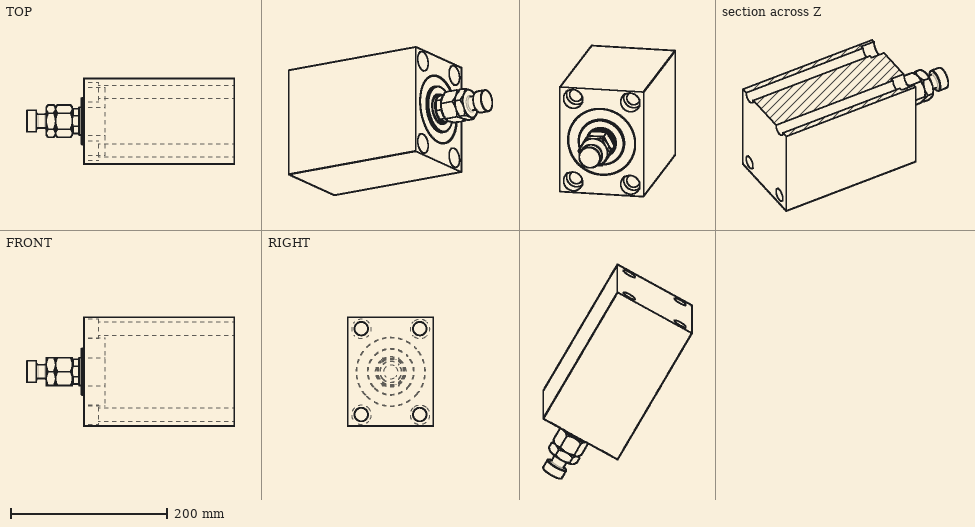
import cadquery as cq
import math


overall_length = 266.0
housing_width = 110.0
housing_height = 140.0
housing_edge_chamfer = 0.5

hole_spacing_y = 75.0
hole_spacing_z = 110.0
hole_dia = 17.0
counterbore_dia = 25.0
counterbore_depth = 18.5

gland_dia = 87.2
gland_depth = 26.5
gland_seat_chamfer = 0.8
boss_dia = 60.0
boss_length = 3.2
boss_chamfer = 1.0
wiper_recess_dia = 39.0
wiper_recess_depth = 1.0

rod_dia = 36.0
rod_projection = 3.2
rod_chamfer = 0.8
neck_dia = 34.5
neck_length = 8.2
neck_chamfer = 0.8
wrench_flats = 32.0

hex_across_flats = 36.0
hex_corner_chamfer = 2.5
thick_hex_length = 21.5
thin_hex_length = 12.0
stud_dia = 18.0
stud_length = 12.5
stud_fillet = 1.5
head_dia = 28.0
head_length = 12.5
head_chamfer = 0.5

boss_face_x = -boss_length
neck_start_x = boss_face_x - rod_projection
thick_hex_x = neck_start_x - neck_length - thick_hex_length
thin_hex_x = thick_hex_x - thin_hex_length
stud_x = thin_hex_x - stud_length
head_x = stud_x - head_length
housing_length = overall_length + head_x


def cylinder(diameter, start_x, end_x):
    """Solid cylinder on the X axis between two stations."""
    return cq.Workplane("YZ", origin=(start_x, 0, 0)).circle(diameter / 2).extrude(end_x - start_x)


def make_housing():
    block = cq.Workplane("XY").box(
        housing_length, housing_width, housing_height, centered=(False, True, True)
    )
    block = block.edges("|X").chamfer(housing_edge_chamfer)
    block = (
        block.faces("<X")
        .workplane(origin=(0, 0, 0))
        .rect(hole_spacing_y, hole_spacing_z, forConstruction=True)
        .vertices()
        .cboreHole(hole_dia, counterbore_dia, counterbore_depth)
    )
    seat = cylinder(gland_dia, 0, gland_depth)
    seat_mouth = (
        cq.Workplane("YZ")
        .circle(gland_dia / 2 + gland_seat_chamfer)
        .extrude(gland_seat_chamfer, taper=45)
    )
    return block.cut(seat).cut(seat_mouth)


def make_gland():
    boss = cylinder(boss_dia, boss_face_x, 0).faces("<X").chamfer(boss_chamfer)
    rod_bore = cylinder(rod_dia, boss_face_x, gland_depth)
    wiper_recess = cylinder(wiper_recess_dia, boss_face_x, boss_face_x + wiper_recess_depth)
    return cylinder(gland_dia, 0, gland_depth).union(boss).cut(rod_bore).cut(wiper_recess)


def make_rod():
    rod = cylinder(rod_dia, neck_start_x, gland_depth).faces("<X").chamfer(rod_chamfer)
    neck = cylinder(neck_dia, neck_start_x - neck_length, neck_start_x).faces("<X").chamfer(neck_chamfer)
    flats = cq.Workplane("XY").box(neck_length, wrench_flats, wrench_flats)
    flats = flats.translate((neck_start_x - neck_length / 2, 0, 0))
    return rod.union(neck.intersect(flats))


def make_hexagon(start_x, length):
    """Hexagon with corners on the Y axis, both end faces turned down to the across-flats circle."""
    corner_dia = hex_across_flats / math.cos(math.radians(30))
    corner_radius = corner_dia / 2
    face_radius = hex_across_flats / 2
    end_x = start_x + length
    prism = cq.Workplane("YZ", origin=(start_x, 0, 0)).polygon(6, corner_dia).extrude(length)
    turned_blank = (
        cq.Workplane("XY")
        .moveTo(start_x, 0)
        .lineTo(start_x, face_radius)
        .lineTo(start_x + hex_corner_chamfer, corner_radius)
        .lineTo(end_x - hex_corner_chamfer, corner_radius)
        .lineTo(end_x, face_radius)
        .lineTo(end_x, 0)
        .close()
        .revolve(360, (0, 0, 0), (1, 0, 0))
    )
    return prism.intersect(turned_blank)


def make_stud():
    """T-head and stud as one turned profile, with a fillet at each end of the stud."""
    head_radius = head_dia / 2
    stud_radius = stud_dia / 2
    fillet_radius = stud_radius + stud_fillet
    return (
        cq.Workplane("XY")
        .moveTo(head_x, 0)
        .lineTo(head_x, head_radius - head_chamfer)
        .lineTo(head_x + head_chamfer, head_radius)
        .lineTo(stud_x - head_chamfer, head_radius)
        .lineTo(stud_x, head_radius - head_chamfer)
        .lineTo(stud_x, fillet_radius)
        .radiusArc((stud_x + stud_fillet, stud_radius), -stud_fillet)
        .lineTo(thin_hex_x - stud_fillet, stud_radius)
        .radiusArc((thin_hex_x, fillet_radius), -stud_fillet)
        .lineTo(thin_hex_x, 0)
        .close()
        .revolve(360, (0, 0, 0), (1, 0, 0))
    )


def make_coupling():
    thin_hex = make_hexagon(thin_hex_x, thin_hex_length)
    thick_hex = make_hexagon(thick_hex_x, thick_hex_length)
    return make_stud().union(thin_hex).union(thick_hex)


housing = make_housing()
gland = make_gland()
rod = make_rod()
coupling = make_coupling()

result = cq.Compound.makeCompound([body.solids().val() for body in (housing, gland, rod, coupling)])